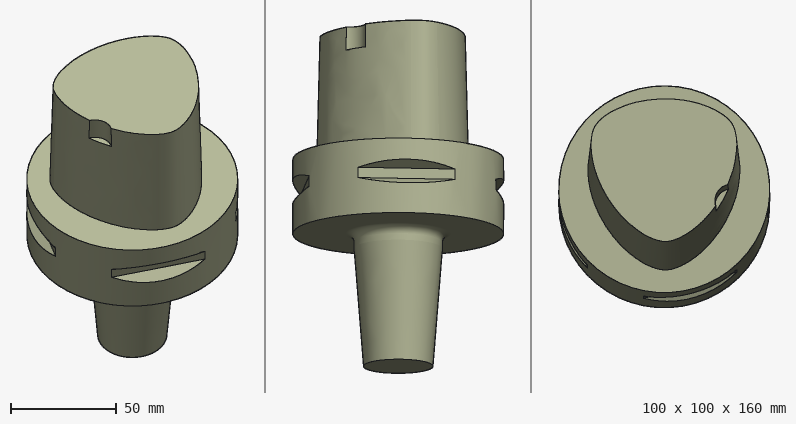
import cadquery as cq
import math

nose_length = 64.0
neck_diameter = 42.0
neck_radius = neck_diameter / 2
nose_taper_angle = 4.5
neck_start = 56.8
root_fillet = 4.0
nose_radius = neck_radius - neck_start * math.tan(math.radians(nose_taper_angle))

flange_diameter = 100.0
flange_height = 36.0
flange_radius = flange_diameter / 2
flange_top = nose_length + flange_height

slot_height = 84.2
slot_floor_width = 5.0
slot_depth = 5.6
slot_side_angle = 30.0
slot_angles = (45, 135, 225, 315)

taper_length = 60.0
taper_base_radius = 36.0
taper_ratio = 1 / 40
lobe_height = 3.0
lobe_half_angle = 24.0

key_radius = 8.0
key_reach = 28.6
key_depth = 11.2


def polygon_point(mean_radius, angle):
    """Point of the lobed outline whose outward normal is `angle` degrees from +X."""
    normal = math.radians(angle)
    phase = 3 * (normal - math.pi / 2)
    support = mean_radius + lobe_height * math.cos(phase)
    slide = -3 * lobe_height * math.sin(phase)
    return cq.Vector(
        support * math.cos(normal) - slide * math.sin(normal),
        support * math.sin(normal) + slide * math.cos(normal),
    )


def polygon_tangent(angle):
    return cq.Vector(-math.sin(math.radians(angle)), math.cos(math.radians(angle)))


def polygon_wire(mean_radius, height):
    """Closed outline made of three lobe curves and three side curves."""
    points_per_curve = 9
    edges = []
    for lobe_angle in (90, 210, 330):
        lobe_start = lobe_angle - lobe_half_angle
        lobe_end = lobe_angle + lobe_half_angle
        next_lobe_start = lobe_start + 120
        for start, end in ((lobe_start, lobe_end), (lobe_end, next_lobe_start)):
            step = (end - start) / (points_per_curve - 1)
            points = [polygon_point(mean_radius, start + i * step) for i in range(points_per_curve)]
            tangents = [polygon_tangent(start), polygon_tangent(end)]
            edges.append(cq.Edge.makeSpline(points, tangents=tangents))
    return cq.Wire.assembleEdges(edges).translate(cq.Vector(0, 0, height))


def make_round_body():
    """Nose, neck and flange as one turned body."""
    fillet_start = nose_length - root_fillet
    fillet_offset = root_fillet * (1 - math.sqrt(0.5))
    return (
        cq.Workplane("XZ")
        .lineTo(nose_radius, 0)
        .lineTo(neck_radius, neck_start)
        .lineTo(neck_radius, fillet_start)
        .threePointArc(
            (neck_radius + fillet_offset, nose_length - fillet_offset),
            (neck_radius + root_fillet, nose_length),
        )
        .lineTo(flange_radius, nose_length)
        .lineTo(flange_radius, flange_top)
        .lineTo(0, flange_top)
        .close()
        .revolve(360, (0, 0), (0, 1))
    )


def make_polygon_taper():
    base = polygon_wire(taper_base_radius, flange_top)
    top_radius = taper_base_radius - taper_length * taper_ratio
    top = polygon_wire(top_radius, flange_top + taper_length)
    return cq.Workplane(cq.Solid.makeLoft([base, top], True))


def make_gripper_slot(angle):
    floor_distance = flange_radius - slot_depth
    cut_depth = 2 * slot_depth
    floor_half = slot_floor_width / 2
    mouth_half = floor_half + cut_depth * math.tan(math.radians(slot_side_angle))
    return (
        cq.Workplane("XZ")
        .moveTo(floor_distance, slot_height - floor_half)
        .lineTo(floor_distance + cut_depth, slot_height - mouth_half)
        .lineTo(floor_distance + cut_depth, slot_height + mouth_half)
        .lineTo(floor_distance, slot_height + floor_half)
        .close()
        .extrude(flange_radius, both=True)
        .rotate((0, 0, 0), (0, 0, 1), angle)
    )


def make_keyway():
    return (
        cq.Workplane("XY", origin=(0, -key_reach - key_radius, flange_top + taper_length - key_depth))
        .circle(key_radius)
        .extrude(key_depth)
    )


result = make_round_body().union(make_polygon_taper()).cut(make_keyway())
for slot_angle in slot_angles:
    result = result.cut(make_gripper_slot(slot_angle))